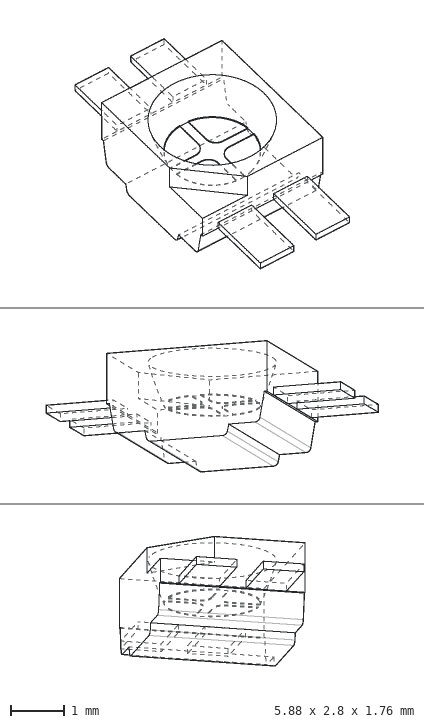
import cadquery as cq
import math

overall_length = 5.88
overall_height = 1.76

body_length = 3.2
body_width = 2.8
shoulder_z = 0.79
shoulder_step = 0.05
underside_z = 0.21
boss_length = 1.675
wall_draft = 10.0
boss_draft = 12.0
body_edge_radius = 0.1
boss_edge_radius = 0.1

notch_leg = 1.04
notch_depth = 0.5

bowl_top_diameter = 2.41
bowl_floor_diameter = 1.805
bowl_bulge = 0.02

lead_thickness = 0.15
lead_width = 0.78
lead_spacing = 1.295

pad_gap = 0.195
pad_corner_radius = 0.225
pad_thickness = 0.02

bowl_floor_z = shoulder_z + lead_thickness - pad_thickness


def make_bowl():
    """Round reflector cavity with a slightly bulged wall."""
    floor_radius = bowl_floor_diameter / 2
    top_radius = bowl_top_diameter / 2
    run = top_radius - floor_radius
    rise = overall_height - bowl_floor_z
    slant = math.hypot(run, rise)
    wall_middle = (
        (floor_radius + top_radius) / 2 + bowl_bulge * rise / slant,
        (bowl_floor_z + overall_height) / 2 - bowl_bulge * run / slant,
    )
    return (
        cq.Workplane("XZ")
        .moveTo(0, bowl_floor_z)
        .lineTo(floor_radius, bowl_floor_z)
        .threePointArc(wall_middle, (top_radius, overall_height))
        .lineTo(0, overall_height)
        .close()
        .revolve(360, (0, 0), (0, 1))
    )


def make_body_block():
    """Housing outline extruded across Y, with rounded lower edges."""
    half_length = body_length / 2
    taper_top = half_length - shoulder_step
    taper_bottom = taper_top - (shoulder_z - underside_z) * math.tan(math.radians(wall_draft))
    boss_top = boss_length / 2
    boss_bottom = boss_top - underside_z * math.tan(math.radians(boss_draft))
    right_side = [
        (boss_bottom, 0),
        (boss_top, underside_z),
        (taper_bottom, underside_z),
        (taper_top, shoulder_z),
        (half_length, shoulder_z),
        (half_length, overall_height),
    ]
    left_side = [(-x, z) for x, z in reversed(right_side)]
    block = (
        cq.Workplane("XZ")
        .polyline(right_side + left_side)
        .close()
        .extrude(body_width / 2, both=True)
    )

    def long_edges(x, z):
        margin = 0.005
        left = cq.selectors.BoxSelector(
            (-x - margin, -margin, z - margin), (-x + margin, margin, z + margin)
        )
        right = cq.selectors.BoxSelector(
            (x - margin, -margin, z - margin), (x + margin, margin, z + margin)
        )
        return left + right

    block = block.edges(long_edges(taper_bottom, underside_z)).fillet(body_edge_radius)
    return block.edges(long_edges(boss_bottom, 0)).fillet(boss_edge_radius)


def make_corner_notch():
    """Triangular prism removed from the top of the +X, -Y corner."""
    corner_x = body_length / 2
    corner_y = -body_width / 2
    return (
        cq.Workplane("XY", origin=(0, 0, overall_height - notch_depth))
        .polyline([
            (corner_x, corner_y),
            (corner_x, corner_y + notch_leg),
            (corner_x - notch_leg, corner_y),
        ])
        .close()
        .extrude(notch_depth)
    )


def make_lead(x_sign, y_sign):
    """Flat lead that butts against an end wall of the housing."""
    lead_length = (overall_length - body_length) / 2
    lead_x = x_sign * (body_length + lead_length) / 2
    lead_y = y_sign * lead_spacing / 2
    return (
        cq.Workplane("XY", origin=(lead_x, lead_y, shoulder_z))
        .box(lead_length, lead_width, lead_thickness, centered=(True, True, False))
    )


def make_pad(x_sign, y_sign, bowl):
    """Quarter-round pad on the bowl floor, trimmed to fit the bowl wall."""
    side = bowl_top_diameter / 2
    centre = (pad_gap + side) / 2
    inner_corner = cq.selectors.NearestToPointSelector((0, 0, bowl_floor_z))
    plate = (
        cq.Workplane("XY", origin=(x_sign * centre, y_sign * centre, bowl_floor_z))
        .box(side, side, pad_thickness, centered=(True, True, False))
        .edges("|Z")
        .edges(inner_corner)
        .fillet(pad_corner_radius)
    )
    return plate.intersect(bowl)


bowl = make_bowl()
housing = make_body_block().cut(make_corner_notch()).cut(bowl)

leads = []
pads = []
for x_sign in (-1, 1):
    for y_sign in (-1, 1):
        leads.append(make_lead(x_sign, y_sign).val())
        pads.append(make_pad(x_sign, y_sign, bowl).val().Solids()[0])

result = cq.Compound.makeCompound([housing.solids().val(), *leads, *pads])